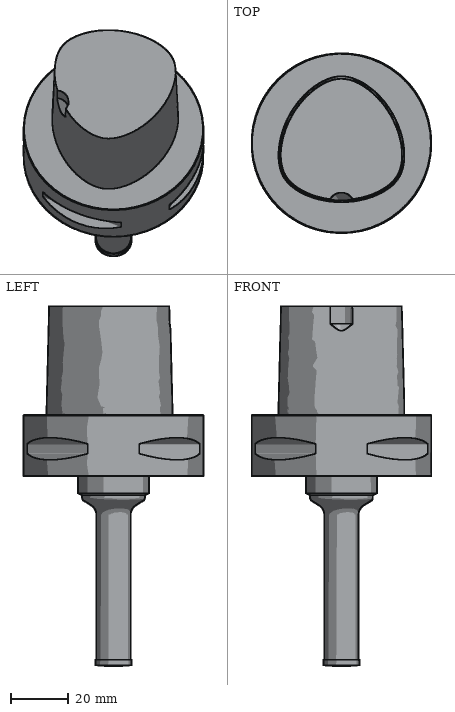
import cadquery as cq
import math

total_height = 126.0
flange_top = 88.0
flange_bottom = 66.4

flange_diameter = 63.0
flange_chamfer = 0.3
groove_count = 4
groove_first_angle = 45.0
groove_height = 76.1
groove_depth = 3.8
groove_floor_width = 3.4
groove_flank_angle = 30.0
groove_floor_fillet = 0.4

lobe_size = 1.4
coupling_base_radius = 22.0
coupling_base_height = 2.9
taper_ratio = 1 / 20
outline_points = 48

notch_diameter = 8.8
notch_offset = 21.7
notch_depth = 6.2
drill_point_angle = 96.0

nose_diameter = 25.0
nose_bottom = 60.6
collar_diameter = 22.0
collar_top = 59.8
collar_bottom = 59.0
neck_diameter = 12.1
shoulder_radius = 1.3
root_radius = 3.8
shoulder_slope = 58.0

tip_diameter = 12.7
tip_top = 2.3
tip_rim_height = 0.4
tip_face_diameter = 2.9


def lobed_point(mean_radius, angle):
    """Point on a constant-width outline with one lobe toward +Y."""
    x = mean_radius * math.cos(angle) + lobe_size * (2 * math.cos(2 * angle) - math.cos(4 * angle))
    y = mean_radius * math.sin(angle) - lobe_size * (2 * math.sin(2 * angle) + math.sin(4 * angle))
    return (-y, x)


def lobed_wire(mean_radius, height):
    step = 2 * math.pi / outline_points
    points = [lobed_point(mean_radius, i * step) for i in range(outline_points)]
    vectors = [cq.Vector(x, y, height) for x, y in points]
    return cq.Wire.assembleEdges([cq.Edge.makeSpline(vectors, periodic=True)])


def make_coupling():
    """Straight lobed base below a lobed taper."""
    taper_bottom = flange_top + coupling_base_height
    top_radius = coupling_base_radius - taper_ratio / 2 * (total_height - taper_bottom)
    base_wire = lobed_wire(coupling_base_radius, flange_top)
    base = cq.Solid.extrudeLinear(base_wire, [], cq.Vector(0, 0, coupling_base_height))
    taper = cq.Solid.makeLoft(
        [lobed_wire(coupling_base_radius, taper_bottom), lobed_wire(top_radius, total_height)]
    )
    return cq.Workplane(base).union(cq.Workplane(taper))


def make_notch():
    """Vertical drilled hole with a conical end, open through the coupling's -Y side."""
    radius = notch_diameter / 2
    edge_height = total_height - notch_depth
    point_height = edge_height - radius / math.tan(math.radians(drill_point_angle / 2))
    return (
        cq.Workplane("XZ")
        .moveTo(0, point_height)
        .lineTo(radius, edge_height)
        .lineTo(radius, total_height)
        .lineTo(0, total_height)
        .close()
        .revolve(360, (0, 0, 0), (0, 1, 0))
        .translate((0, -notch_offset, 0))
    )


def make_flange():
    return (
        cq.Workplane("XY", origin=(0, 0, flange_bottom))
        .circle(flange_diameter / 2)
        .extrude(flange_top - flange_bottom)
        .edges()
        .chamfer(flange_chamfer)
    )


def make_groove(angle):
    """Straight trapezoidal groove across the flange rim, centred on the given direction."""
    outer = flange_diameter / 2
    floor = outer - groove_depth
    half_floor = groove_floor_width / 2
    half_mouth = half_floor + groove_depth * math.tan(math.radians(groove_flank_angle))
    return (
        cq.Workplane("XZ")
        .polyline([(floor, -half_floor), (outer, -half_mouth), (outer, half_mouth), (floor, half_floor)])
        .close()
        .extrude(outer, both=True)
        .edges("|Y and <X")
        .fillet(groove_floor_fillet)
        .translate((0, 0, groove_height))
        .rotate((0, 0, 0), (0, 0, 1), angle)
    )


def make_nose_and_neck():
    """Turned nose, collar, curved shoulder and slender neck below the flange."""
    nose_radius = nose_diameter / 2
    collar_radius = collar_diameter / 2
    neck_radius = neck_diameter / 2
    slope = math.radians(shoulder_slope)

    def arc_step(radius, angle):
        """Inward and vertical run of an arc after it leaves the axial direction."""
        return radius * (1 - math.cos(angle)), radius * math.sin(angle)

    round_in, round_drop = arc_step(shoulder_radius, slope)
    round_mid_in, round_mid_drop = arc_step(shoulder_radius, slope / 2)
    root_in, root_drop = arc_step(root_radius, slope)
    root_mid_in, root_mid_drop = arc_step(root_radius, slope / 2)

    cone_start = (collar_radius - round_in, collar_bottom - round_drop)
    cone_end_radius = neck_radius + root_in
    cone_drop = (cone_start[0] - cone_end_radius) / math.tan(slope)
    cone_end = (cone_end_radius, cone_start[1] - cone_drop)
    neck_top = cone_end[1] - root_drop

    return (
        cq.Workplane("XZ")
        .moveTo(0, flange_bottom)
        .lineTo(nose_radius, flange_bottom)
        .lineTo(nose_radius, nose_bottom)
        .lineTo(collar_radius, collar_top)
        .lineTo(collar_radius, collar_bottom)
        .threePointArc((collar_radius - round_mid_in, collar_bottom - round_mid_drop), cone_start)
        .lineTo(*cone_end)
        .threePointArc((neck_radius + root_mid_in, neck_top + root_mid_drop), (neck_radius, neck_top))
        .lineTo(neck_radius, tip_top)
        .lineTo(0, tip_top)
        .close()
        .revolve(360, (0, 0, 0), (0, 1, 0))
    )


def make_holder():
    holder = make_flange().union(make_nose_and_neck()).union(make_coupling())
    for i in range(groove_count):
        holder = holder.cut(make_groove(groove_first_angle + i * 360 / groove_count))
    return holder.cut(make_notch())


def make_cutting_tip():
    """Disc at the end of the neck, with a shallow conical end and a small flat centre."""
    return (
        cq.Workplane("XZ")
        .lineTo(tip_face_diameter / 2, 0)
        .lineTo(tip_diameter / 2, tip_rim_height)
        .lineTo(tip_diameter / 2, tip_top)
        .lineTo(0, tip_top)
        .close()
        .revolve(360, (0, 0, 0), (0, 1, 0))
    )


holder = make_holder()
cutting_tip = make_cutting_tip()

result = cq.Compound.makeCompound([*holder.solids().vals(), cutting_tip.val()])